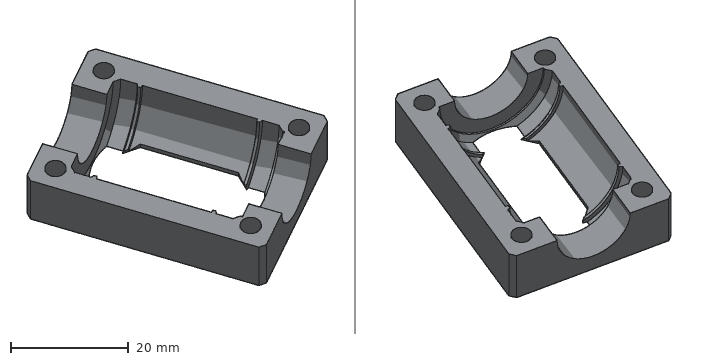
import cadquery as cq

LENGTH = 43.4
WIDTH = 31.1
HEIGHT = 10.17
CORNER_CHAMFER = 1.0

BOLT_DIAMETER = 3.6
BOLT_SPACING_X = 35.4
BOLT_SPACING_Y = 23.1

BORE_Y = -0.18
SHAFT_RADIUS = 7.0
CAVITY_RADIUS = 11.0
CAVITY_TAPER = 1.0
CAVITY_LEFT_END = -15.35
CAVITY_RIGHT_TAPER_END = 15.35
RIGHT_RECESS_DEPTH = 0.35

RIDGE_OFFSET = 10.88
RIDGE_BASE_WIDTH = 0.95
RIDGE_OUTER_RUN = 0.3
RIDGE_INNER_RUN = 0.1
RIDGE_HEIGHT = 0.55

WINDOW_LENGTH = 23.0
WINDOW_WIDTH = 11.6
WINDOW_CHAMFER = 2.6


def block():
    body = cq.Workplane("XY").box(LENGTH, WIDTH, HEIGHT, centered=(True, True, False))
    body = body.translate((0, 0, -HEIGHT))
    return body.edges("|Z").chamfer(CORNER_CHAMFER)


def bolt_holes():
    return (
        cq.Workplane("XY")
        .rect(BOLT_SPACING_X, BOLT_SPACING_Y, forConstruction=True)
        .vertices()
        .circle(BOLT_DIAMETER / 2)
        .extrude(-HEIGHT)
    )


def shaft_bore():
    return cq.Workplane("YZ").circle(SHAFT_RADIUS).extrude(LENGTH / 2, both=True)


def cavity():
    """Cavity turned about the X axis, with two inward ridges left standing."""
    end_radius = CAVITY_RADIUS - CAVITY_TAPER
    crest_radius = CAVITY_RADIUS - RIDGE_HEIGHT
    right_end = CAVITY_RIGHT_TAPER_END + RIGHT_RECESS_DEPTH
    profile = (
        cq.Workplane("XY")
        .moveTo(CAVITY_LEFT_END, 0)
        .lineTo(CAVITY_LEFT_END, end_radius)
        .lineTo(CAVITY_LEFT_END + CAVITY_TAPER, CAVITY_RADIUS)
    )
    for ridge_x, left_run, right_run in (
        (-RIDGE_OFFSET, RIDGE_OUTER_RUN, RIDGE_INNER_RUN),
        (RIDGE_OFFSET, RIDGE_INNER_RUN, RIDGE_OUTER_RUN),
    ):
        left_foot = ridge_x - RIDGE_BASE_WIDTH / 2
        right_foot = ridge_x + RIDGE_BASE_WIDTH / 2
        profile = (
            profile.lineTo(left_foot, CAVITY_RADIUS)
            .lineTo(left_foot + left_run, crest_radius)
            .lineTo(right_foot - right_run, crest_radius)
            .lineTo(right_foot, CAVITY_RADIUS)
        )
    profile = (
        profile.lineTo(CAVITY_RIGHT_TAPER_END - CAVITY_TAPER, CAVITY_RADIUS)
        .lineTo(CAVITY_RIGHT_TAPER_END, end_radius)
        .lineTo(right_end, end_radius)
        .lineTo(right_end, 0)
        .close()
    )
    return profile.revolve(360, (0, 0, 0), (1, 0, 0))


def floor_window():
    window = cq.Workplane("XY").rect(WINDOW_LENGTH, WINDOW_WIDTH).extrude(-HEIGHT)
    return window.edges("|Z").chamfer(WINDOW_CHAMFER)


bores = shaft_bore().union(cavity()).translate((0, BORE_Y, 0))
result = block().cut(bolt_holes()).cut(bores).cut(floor_window())